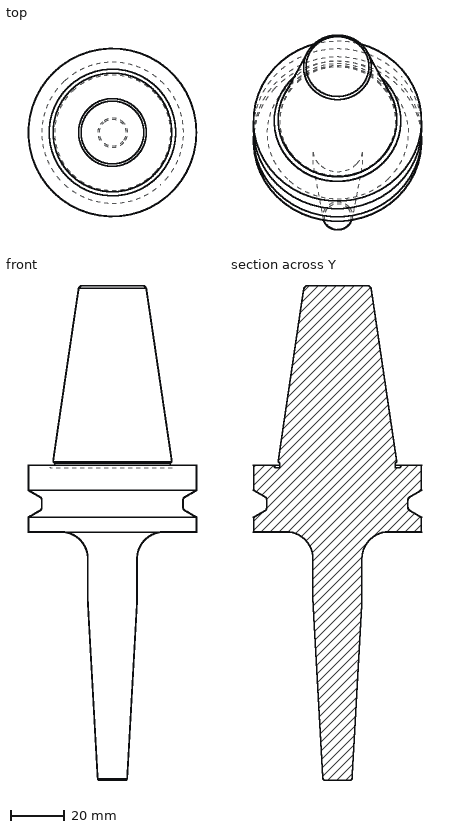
import cadquery as cq
import math

total_length = 185.4
taper_start_z = 67.0
flange_bottom_z = 93.0
flange_top_z = 118.1
gauge_z = 120.0
taper_land_z = 119.4

gauge_radius = 22.2
taper_ratio = 7 / 24
small_end_radius = gauge_radius - (total_length - gauge_z) * taper_ratio / 2
small_end_chamfer = 1.0

neck_radius = 21.7
neck_top_z = taper_land_z - (gauge_radius - neck_radius)
relief_outer_radius = 23.7
relief_depth = 1.0
relief_corner_fillet = 0.7
relief_floor_z = flange_top_z - relief_depth

flange_radius = 31.5
groove_floor_radius = 26.5
groove_top_z = 108.6
groove_bottom_z = 98.6
groove_flank_angle = 30
groove_corner_fillet = 1.1
groove_flank_height = (flange_radius - groove_floor_radius) * math.tan(math.radians(groove_flank_angle))
groove_floor_top_z = groove_top_z - groove_flank_height
groove_floor_bottom_z = groove_bottom_z + groove_flank_height

shank_radius = 9.3
shank_fillet = 10.0
tip_radius = 5.5
tip_chamfer = 0.5


def revolve_profile(profile):
    """Close a half profile in the XZ plane and turn it about the Z axis."""
    return profile.close().revolve(360, (0, 0, 0), (0, 1, 0))


def fillet_ring(body, ring_radius, ring_z, fillet_radius):
    """Round the circular edge of the given radius and height."""
    margin = 0.2
    reach = ring_radius + margin
    ring_box = cq.selectors.BoxSelector(
        (-reach, -reach, ring_z - margin),
        (reach, reach, ring_z + margin),
        boundingbox=True,
    )
    return body.edges(ring_box).fillet(fillet_radius)


def make_nose():
    """Tapered tip, straight shank and the concave blend into the flange."""
    blend_center_r = shank_radius + shank_fillet
    blend_start_z = flange_bottom_z - shank_fillet
    blend_offset = shank_fillet * 0.5 ** 0.5
    profile = (
        cq.Workplane("XZ")
        .lineTo(tip_radius - tip_chamfer, 0)
        .lineTo(tip_radius, tip_chamfer)
        .lineTo(shank_radius, taper_start_z)
        .lineTo(shank_radius, blend_start_z)
        .threePointArc(
            (blend_center_r - blend_offset, blend_start_z + blend_offset),
            (blend_center_r, flange_bottom_z),
        )
        .lineTo(0, flange_bottom_z)
    )
    return revolve_profile(profile)


def make_flange():
    """Flange with the gripper groove and the relief in its upper face."""
    profile = (
        cq.Workplane("XZ")
        .moveTo(0, flange_bottom_z)
        .lineTo(flange_radius, flange_bottom_z)
        .lineTo(flange_radius, groove_bottom_z)
        .lineTo(groove_floor_radius, groove_floor_bottom_z)
        .lineTo(groove_floor_radius, groove_floor_top_z)
        .lineTo(flange_radius, groove_top_z)
        .lineTo(flange_radius, flange_top_z)
        .lineTo(relief_outer_radius, flange_top_z)
        .lineTo(relief_outer_radius, relief_floor_z)
        .lineTo(0, relief_floor_z)
    )
    flange = revolve_profile(profile)
    for corner_z in (groove_floor_bottom_z, groove_floor_top_z):
        flange = fillet_ring(flange, groove_floor_radius, corner_z, groove_corner_fillet)
    return fillet_ring(flange, relief_outer_radius, relief_floor_z, relief_corner_fillet)


def make_machine_taper():
    """Relief neck and the machine taper above it."""
    profile = (
        cq.Workplane("XZ")
        .moveTo(0, relief_floor_z)
        .lineTo(neck_radius, relief_floor_z)
        .lineTo(neck_radius, neck_top_z)
        .lineTo(gauge_radius, taper_land_z)
        .lineTo(gauge_radius, gauge_z)
        .lineTo(small_end_radius, total_length - small_end_chamfer)
        .lineTo(small_end_radius - small_end_chamfer, total_length)
        .lineTo(0, total_length)
    )
    return revolve_profile(profile)


result = make_nose().union(make_flange()).union(make_machine_taper())